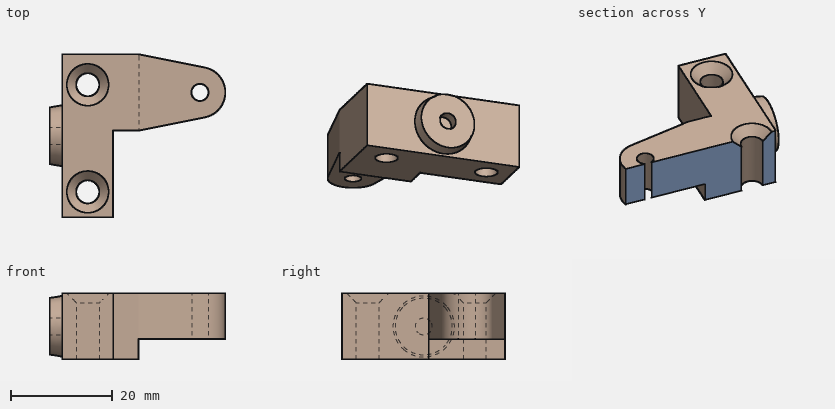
import cadquery as cq
import math

block_width = 10.0
block_length = 32.0
block_height = 13.0

arm_width = 15.0
root_end = 15.0
arm_thickness = 9.0
tip_radius = 5.0
tip_x = 27.0
arm_center_y = -arm_width / 2
tip_hole_diameter = 3.3

mount_diameter = 4.5
countersink_diameter = 8.2
countersink_angle = 90
mount_x = block_width / 2
rear_mount_inset = 6.0
front_mount_inset = 5.0

boss_length = 2.5
boss_base_diameter = 12.0
boss_end_diameter = 11.18
boss_hole_diameter = 3.3
boss_hole_depth = boss_length


def make_block():
    return cq.Workplane("XY").box(block_width, block_length, block_height, centered=False).translate(
        (0, -block_length, 0)
    )


def make_arm():
    root = cq.Workplane("XY").box(root_end, arm_width, block_height, centered=False).translate(
        (0, -arm_width, 0)
    )

    run = tip_x - root_end
    half_width = arm_width / 2
    corner_distance = math.hypot(run, half_width)
    normal_angle = math.atan2(half_width, -run) - math.acos(tip_radius / corner_distance)
    tangent_x = tip_x + tip_radius * math.cos(normal_angle)
    tangent_offset = tip_radius * math.sin(normal_angle)

    tongue = (
        cq.Workplane("XY", origin=(0, arm_center_y, block_height - arm_thickness))
        .moveTo(root_end, half_width)
        .lineTo(tangent_x, tangent_offset)
        .threePointArc((tip_x + tip_radius, 0), (tangent_x, -tangent_offset))
        .lineTo(root_end, -half_width)
        .close()
        .extrude(arm_thickness)
    )
    return root.union(tongue)


def make_boss():
    return (
        cq.Workplane("XY")
        .polyline(
            [
                (0, 0),
                (0, boss_base_diameter / 2),
                (-boss_length, boss_end_diameter / 2),
                (-boss_length, 0),
            ]
        )
        .close()
        .revolve(360, (0, 0), (1, 0))
        .translate((0, -block_length / 2, block_height / 2))
    )


def cut_holes(body):
    top = cq.Workplane("XY", origin=(0, 0, block_height))
    mount_points = [(mount_x, -rear_mount_inset), (mount_x, front_mount_inset - block_length)]
    body = body.copyWorkplane(top).pushPoints(mount_points).cskHole(
        mount_diameter, countersink_diameter, countersink_angle
    )
    body = body.copyWorkplane(top).pushPoints([(tip_x, arm_center_y)]).hole(tip_hole_diameter)

    boss_hole = (
        cq.Workplane("YZ", origin=(-boss_length, -block_length / 2, block_height / 2))
        .circle(boss_hole_diameter / 2)
        .extrude(boss_hole_depth)
    )
    return body.cut(boss_hole)


result = cut_holes(make_block().union(make_arm()).union(make_boss()))